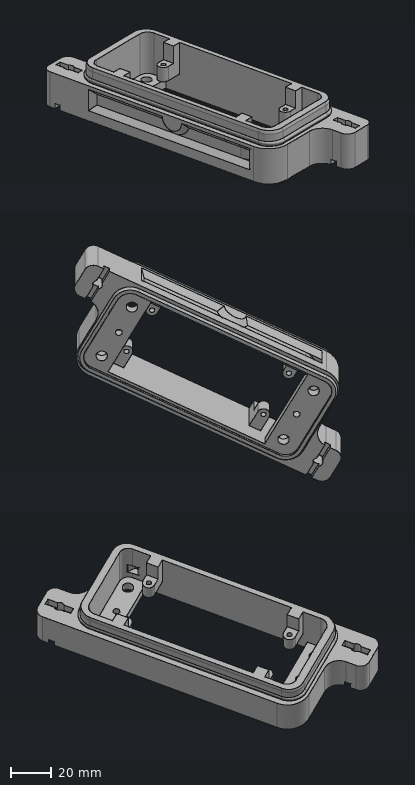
import cadquery as cq
import math

total_length = 165.0
total_height = 30.2
body_length = 127.7
body_width = 58.0
body_corner = 12.0
body_bottom = 1.5
body_top = 21.5

ear_width = 19.8
ear_corner = 5.0
ear_blend = 8.1
ear_hole_x = 72.8
ear_hole_y = 19.5
ear_hole_diameter = 5.0
ear_slot_length = 14.0
ear_slot_width = 3.3
ear_slot_depth = 4.5
ear_notch_width = 3.1
ear_notch_depth = 3.0

base_length = 126.4
base_width = 54.3
base_corner = 10.0
base_bevel = 1.0
base_rim_width = 2.0

lip_length = 122.8
lip_width = 52.1
lip_corner = 8.5
lip_bevel_height = 1.8
lip_bevel_inset = 0.5
bead_length = 125.0
bead_width = 53.3
bead_corner = 9.4
bead_height = 3.0
bead_fillet = 1.47

cavity_length = 113.8
cavity_width = 45.2
cavity_corner = 5.0
ledge_inner_x = 44.4
ledge_top = 6.8
ledge_hole_x = 51.5
ledge_hole_y = 16.0
ledge_hole_diameter = 5.6
ledge_pin_x = 50.3
ledge_pin_diameter = 3.3

post_x = 38.8
post_width = 6.5
post_bottom = 12.4
post_shelf_z = 20.5
post_wall_depth = 5.0
post_hole_y = 13.5
post_hole_diameter = 2.5

recess_left = -53.0
recess_right = 49.2
recess_bottom = 7.5
recess_top = 19.5
recess_depth = 3.0
island_radius = 6.1
end_slot_start = 41.7
end_slot_stop = 54.8
end_slot_depth = 7.0
end_slot_radius = 9.0

front_y = -body_width / 2
overlap = 1.5


def rounded_block(length, width, corner, bottom, top):
    """Upright block centred on the origin with rounded vertical edges."""
    block = cq.Workplane("XY").workplane(offset=bottom).rect(length, width)
    return block.extrude(top - bottom).edges("|Z").fillet(corner)


def tapered_block(length, width, corner, bottom, top, inset):
    """Rounded block whose sides lean inward by `inset` from bottom to top."""
    height = top - bottom
    profile = cq.Sketch().rect(length, width).vertices().fillet(corner)
    angle = math.degrees(math.atan(inset / height))
    return cq.Workplane("XY").workplane(offset=bottom).placeSketch(profile).extrude(height, taper=angle)


def both_ends(solid):
    """The solid together with its half-turn copy about Z."""
    return solid.union(solid.rotate((0, 0, 0), (0, 0, 1), 180))


def all_corners(x, y):
    """The four points mirrored about both centre lines."""
    return [(x, y), (-x, y), (-x, -y), (x, -y)]


def make_body():
    """Rounded body with an ear at two opposite corners."""
    height = body_top - body_bottom
    body = rounded_block(body_length, body_width, body_corner, body_bottom, body_top)
    ear_length = total_length / 2
    ear = (
        cq.Workplane("XY", origin=(total_length / 2, body_width / 2, body_bottom))
        .rect(-ear_length, -ear_width, centered=False)
        .extrude(height)
        .edges("|Z and >X")
        .fillet(ear_corner)
    )
    body = body.union(both_ends(ear))
    joint_x = body_length / 2
    joint_y = body_width / 2 - ear_width
    for side in (-1, 1):
        joint = cq.selectors.NearestToPointSelector((side * joint_x, side * joint_y, height / 2))
        body = body.edges("|Z").edges(joint).fillet(ear_blend)
    return body


def make_base():
    """Plate under the body, bevelled over its full height."""
    plate = rounded_block(base_length, base_width, base_corner, 0, body_bottom + overlap)
    return plate.faces("<Z").chamfer(body_bottom, base_bevel)


def make_underside_recess():
    """Shallow recess that leaves only a narrow rim standing under the body."""
    inset = base_bevel + base_rim_width
    length = base_length - 2 * inset
    width = base_width - 2 * inset
    return rounded_block(length, width, base_corner - inset, 0, body_bottom)


def make_lip():
    """Upstanding lip with a bevelled top and a bead at its foot."""
    bevel_z = total_height - lip_bevel_height
    bead = rounded_block(bead_length, bead_width, bead_corner, body_top, body_top + bead_height)
    bead = bead.faces("<Z or >Z").edges().fillet(bead_fillet)
    wall = rounded_block(lip_length, lip_width, lip_corner, body_top, bevel_z)
    bevel = tapered_block(lip_length, lip_width, lip_corner, bevel_z, total_height, lip_bevel_inset)
    return wall.union(bead).union(bevel)


def make_cavity():
    """Opening through the part, wider above the two end ledges."""
    lower = cq.Workplane("XY").box(2 * ledge_inner_x, cavity_width, ledge_top, centered=(True, True, False))
    upper = rounded_block(cavity_length, cavity_width, cavity_corner, ledge_top, total_height)
    return lower.union(upper)


def make_ledge_holes():
    large = cq.Workplane("XY").pushPoints(all_corners(ledge_hole_x, ledge_hole_y))
    small = cq.Workplane("XY").pushPoints([(-ledge_pin_x, 0), (ledge_pin_x, 0)])
    large = large.circle(ledge_hole_diameter / 2).extrude(ledge_top)
    small = small.circle(ledge_pin_diameter / 2).extrude(ledge_top)
    return large.union(small)


def make_post():
    """Post on the back cavity wall: a wall rib with a drilled round-nosed shelf."""
    wall_y = cavity_width / 2 + overlap
    half = post_width / 2
    shelf = (
        cq.Workplane("XY", origin=(post_x, 0, post_bottom))
        .moveTo(-half, wall_y)
        .lineTo(-half, post_hole_y)
        .threePointArc((0, post_hole_y - half), (half, post_hole_y))
        .lineTo(half, wall_y)
        .close()
        .extrude(post_shelf_z - post_bottom)
    )
    rib_depth = post_wall_depth + overlap
    rib = cq.Workplane("XY", origin=(post_x, wall_y - rib_depth / 2, post_bottom))
    rib = rib.rect(post_width, rib_depth).extrude(total_height - post_bottom)
    hole = cq.Workplane("XY", origin=(post_x, post_hole_y, post_bottom))
    return shelf.union(rib).cut(hole.circle(post_hole_diameter / 2).extrude(post_shelf_z - post_bottom))


def make_ear_cuts():
    """Through hole, top slot and underside notch of the back right ear."""
    hole = cq.Workplane("XY", origin=(ear_hole_x, ear_hole_y, 0))
    hole = hole.circle(ear_hole_diameter / 2).extrude(body_top)
    slot = cq.Workplane("XY", origin=(ear_hole_x, ear_hole_y, body_top))
    slot = slot.rect(ear_slot_length, ear_slot_width).extrude(-ear_slot_depth)
    notch = cq.Workplane("XY", origin=(ear_hole_x, ear_hole_y, body_bottom))
    notch = notch.rect(ear_notch_width, body_width / 2).extrude(ear_notch_depth)
    return hole.union(slot).union(notch)


def make_recess():
    """Recess with 45 degree sides; its right end is undercut to run parallel to the left end."""
    floor_y = front_y + recess_depth
    section = [
        (front_y, recess_bottom),
        (floor_y, recess_bottom + recess_depth),
        (floor_y, recess_top - recess_depth),
        (front_y, recess_top),
    ]
    plan = [
        (recess_left, front_y),
        (recess_right, front_y),
        (recess_right + recess_depth, floor_y),
        (recess_left + recess_depth, floor_y),
    ]
    groove = cq.Workplane("YZ", origin=(recess_left, 0, 0)).polyline(section).close().extrude(total_length)
    outline = cq.Workplane("XY").polyline(plan).close().extrude(total_height)
    island = cq.Workplane("XZ", origin=(0, front_y, recess_top))
    island = island.circle(island_radius).extrude(-recess_depth, taper=-45)
    return groove.intersect(outline).cut(island)


def make_end_slot():
    """Slot at the right end of the recess, opening into the cavity past a rounded edge."""
    floor_y = front_y + recess_depth
    back_y = front_y + end_slot_depth
    bottom = recess_bottom + recess_depth
    height = recess_top - recess_bottom - 2 * recess_depth
    sweep = math.acos(1 - (back_y - floor_y) / end_slot_radius)

    def edge_point(angle):
        x = end_slot_start + end_slot_radius * math.sin(angle)
        return x, floor_y + end_slot_radius * (1 - math.cos(angle))

    return (
        cq.Workplane("XY", origin=(0, 0, bottom))
        .moveTo(end_slot_start, floor_y)
        .threePointArc(edge_point(sweep / 2), edge_point(sweep))
        .lineTo(end_slot_stop, back_y)
        .lineTo(recess_right + recess_depth, floor_y)
        .close()
        .extrude(height)
    )


post = make_post()
posts = both_ends(post.union(post.mirror("YZ")))

result = make_body().union(make_base()).union(make_lip())
result = result.cut(make_underside_recess()).cut(make_cavity()).cut(make_ledge_holes()).union(posts)
result = result.cut(both_ends(make_ear_cuts()))
result = result.cut(make_recess()).cut(make_end_slot())